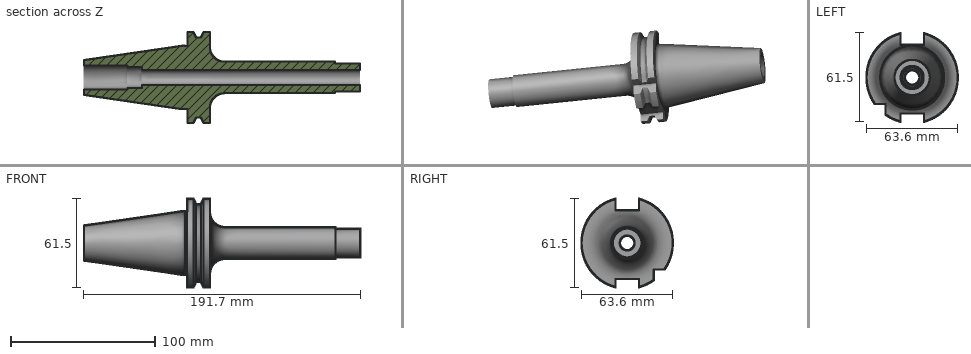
import cadquery as cq
import math

gauge_x = 68.4
gauge_radius = 44.45 / 2
taper_ratio = 7 / 24
taper_small_radius = gauge_radius - gauge_x * taper_ratio / 2
relief_x = gauge_x + 1.6
relief_depth = 0.1
flange_start_x = gauge_x + 3.2
flange_end_x = gauge_x + 19.1
flange_radius = 63.55 / 2

groove_center_x = gauge_x + 11.0
groove_floor_radius = 28.1
groove_floor_width = 3.3
groove_mouth_width = 7.0

neck_fillet_radius = 10.0
neck_end_x = flange_end_x + neck_fillet_radius
shank_radius = 22.2 / 2
shank_end_x = 174.4
tip_radius = 20 / 2
overall_length = 191.7

through_bore_radius = 10 / 2
entry_bore_radius = 16 / 2
entry_bore_depth = 30.0
middle_bore_radius = 14 / 2
middle_bore_depth = 40.0

key_slot_width = 16.1
upper_slot_floor_z = 22.8
lower_slot_floor_z = -25.0
notch_y = 18.5
notch_z = -18.5


def make_body():
    """Taper, grooved flange, neck and shank as one revolved profile."""
    neck_arc_offset = neck_fillet_radius * (1 - math.cos(math.radians(45)))
    neck_mid = (flange_end_x + neck_arc_offset, shank_radius + neck_arc_offset)
    return (
        cq.Workplane("XY")
        .moveTo(0, 0)
        .lineTo(0, taper_small_radius)
        .lineTo(gauge_x, gauge_radius)
        .lineTo(relief_x, gauge_radius)
        .lineTo(relief_x, gauge_radius - relief_depth)
        .lineTo(flange_start_x, gauge_radius - relief_depth)
        .lineTo(flange_start_x, flange_radius)
        .lineTo(groove_center_x - groove_mouth_width / 2, flange_radius)
        .lineTo(groove_center_x - groove_floor_width / 2, groove_floor_radius)
        .lineTo(groove_center_x + groove_floor_width / 2, groove_floor_radius)
        .lineTo(groove_center_x + groove_mouth_width / 2, flange_radius)
        .lineTo(flange_end_x, flange_radius)
        .lineTo(flange_end_x, shank_radius + neck_fillet_radius)
        .threePointArc(neck_mid, (neck_end_x, shank_radius))
        .lineTo(shank_end_x, shank_radius)
        .lineTo(shank_end_x, tip_radius)
        .lineTo(overall_length, tip_radius)
        .lineTo(overall_length, 0)
        .close()
        .revolve(360, (0, 0, 0), (1, 0, 0))
    )


def axial_bore(radius, depth):
    """Cylinder along X, starting at the small end of the taper."""
    return cq.Workplane("YZ").circle(radius).extrude(depth)


def flange_cutter(y_min, y_max, z_min, z_max):
    """Block spanning the flange width, bounded in Y and Z."""
    return cq.Workplane("XY").box(
        flange_end_x - flange_start_x, y_max - y_min, z_max - z_min, centered=False
    ).translate((flange_start_x, y_min, z_min))


def cut_bores(body):
    """Stepped coaxial bore running the full length."""
    bores = (
        (through_bore_radius, overall_length),
        (middle_bore_radius, middle_bore_depth),
        (entry_bore_radius, entry_bore_depth),
    )
    for radius, depth in bores:
        body = body.cut(axial_bore(radius, depth))
    return body


def cut_flange(body):
    """Two key slots of unequal depth and one corner notch through the flange."""
    half_slot = key_slot_width / 2
    upper_slot = flange_cutter(-half_slot, half_slot, upper_slot_floor_z, flange_radius)
    lower_slot = flange_cutter(-half_slot, half_slot, -flange_radius, lower_slot_floor_z)
    notch = flange_cutter(notch_y, flange_radius, -flange_radius, notch_z)
    return body.cut(upper_slot).cut(lower_slot).cut(notch)


result = cut_flange(cut_bores(make_body()))